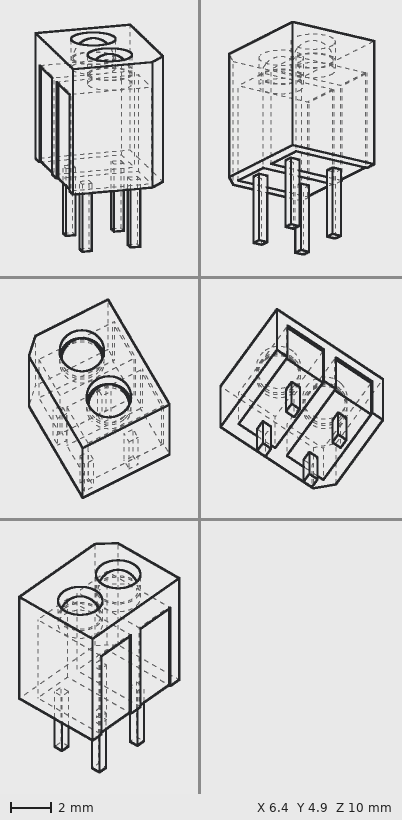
import cadquery as cq

HOUSING_LENGTH = 6.4
HOUSING_WIDTH = 4.9
HOUSING_HEIGHT = 6.5
CORNER_CHAMFER = 0.8

BLOCK_LENGTH = 2.2
BLOCK_HEIGHT = 5.0
BLOCK_SPACING = 2.9
BLOCK_SETBACK = 0.1
LENS_RADIUS = 1.0
COLLAR_HEIGHT = 0.5
LEAD_SIZE = 0.5
LEAD_LENGTH = 3.5
LEAD_ROW_SPACING = 2.5

APERTURE_DIAMETER = 2.2
OPTICAL_SPACING = 2.8

SIDES = (-1, 1)
FRONT_Y = -HOUSING_WIDTH / 2
WALL = (HOUSING_LENGTH - BLOCK_SPACING - BLOCK_LENGTH) / 2
BLOCK_BACK_Y = HOUSING_WIDTH / 2 - WALL


def block_box(side, front_y):
    """Box filling one block's slot from front_y to the rear wall."""
    depth = BLOCK_BACK_Y - front_y
    return (
        cq.Workplane("XY")
        .center(side * BLOCK_SPACING / 2, front_y + depth / 2)
        .rect(BLOCK_LENGTH, depth)
        .extrude(BLOCK_HEIGHT)
    )


def make_housing():
    """Chamfered shell with a front slot and a round aperture for each element."""
    housing = (
        cq.Workplane("XY")
        .rect(HOUSING_LENGTH, HOUSING_WIDTH)
        .extrude(HOUSING_HEIGHT)
        .edges("|Z and >X and >Y")
        .chamfer(CORNER_CHAMFER)
    )
    for side in SIDES:
        aperture = (
            cq.Workplane("XY", origin=(side * OPTICAL_SPACING / 2, 0, BLOCK_HEIGHT))
            .circle(APERTURE_DIAMETER / 2)
            .extrude(HOUSING_HEIGHT - BLOCK_HEIGHT)
        )
        housing = housing.cut(block_box(side, FRONT_Y)).cut(aperture)
    return housing


def make_element(side):
    """Block with a collared hemispherical lens on top and two square leads below."""
    optical_x = side * OPTICAL_SPACING / 2
    collar = (
        cq.Workplane("XY", origin=(optical_x, 0, BLOCK_HEIGHT))
        .circle(APERTURE_DIAMETER / 2)
        .extrude(COLLAR_HEIGHT)
    )
    lens_z = BLOCK_HEIGHT + COLLAR_HEIGHT
    lens = cq.Workplane("XY", origin=(optical_x, 0, lens_z)).sphere(LENS_RADIUS)
    leads = (
        cq.Workplane("XY")
        .pushPoints([(optical_x, row * LEAD_ROW_SPACING / 2) for row in SIDES])
        .rect(LEAD_SIZE, LEAD_SIZE)
        .extrude(-LEAD_LENGTH)
    )
    return block_box(side, FRONT_Y + BLOCK_SETBACK).union(collar).union(lens).union(leads)


housing = make_housing()
elements = [make_element(side) for side in SIDES]

result = cq.Compound.makeCompound([housing.val(), *(element.val() for element in elements)])